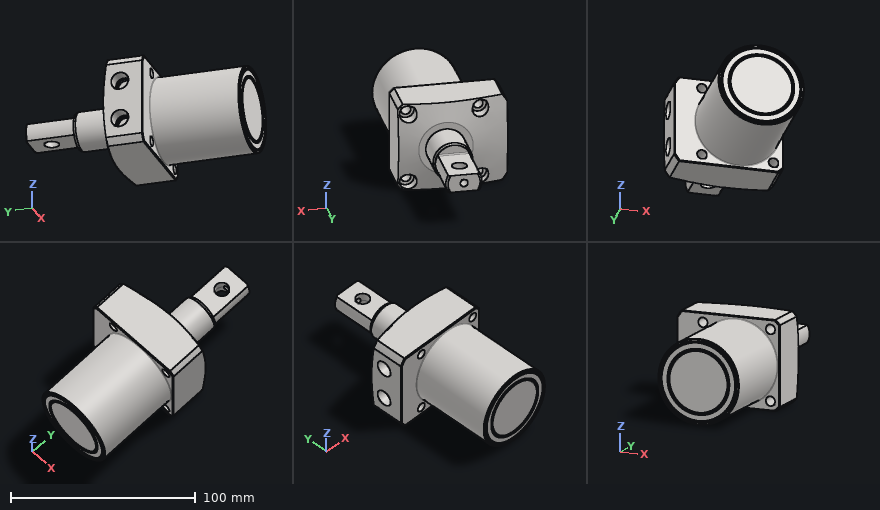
import cadquery as cq
import math


overall_length = 126.5

flange_length = 28.0
flange_height = 51.0
flange_left = 35.5
left_corner_radius = 41.5
right_corner_radius = 34.2
rear_edge_chamfer = 0.5
nose_radius = 15.0
nose_angle = 15.0
bolt_half_spacing = 20.0
bolt_hole_diameter = 5.5
bolt_head_diameter = 9.2
bolt_head_floor_y = 18.0

port_half_spacing = 11.0
port_y = 13.0
port_diameter = 9.7
port_depth = 8.0
port_core_diameter = 8.1
port_core_depth = 10.1

tube_length = 51.0
tube_diameter = 48.0
tube_rim_chamfer = 0.4
tube_root_fillet = 0.3

cap_radius = 22.1
cap_thickness = 8.0
cap_seam_chamfer = 0.5
groove_outer_radius = 18.5
groove_inner_radius = 17.1
groove_depth = 0.5

rod_radius = 11.0
rod_shoulder_length = 20.0
shoulder_chamfer_radial = 0.8
shoulder_chamfer_axial = 1.5
tip_radius = 10.0
tip_thickness = 10.0
tip_chamfer_radial = 1.1
tip_chamfer_axial = 0.8
tip_root_fillet = 0.6
pin_hole_diameter = 8.2
pin_hole_from_tip = 12.0
set_screw_hole_diameter = 4.2

flange_right = flange_height / 2
tube_radius = tube_diameter / 2
rear_y = -tube_length
shoulder_y = flange_length + rod_shoulder_length
tip_y = overall_length - tube_length


def cylinder_y(radius, y_start, y_end):
    """Solid cylinder on the Y axis between two stations."""
    return (
        cq.Workplane("XZ", origin=(0, y_start, 0))
        .circle(radius)
        .extrude(y_start - y_end)
    )


def revolve_y(points):
    """Revolve a closed (radius, y) outline about the Y axis."""
    return cq.Workplane("XY").polyline(points).close().revolve(360, (0, 0, 0), (0, 1, 0))


def half_block(width, side, corner_radius):
    """Part of the flange on one side of the axis, its outer corners turned to a radius."""
    block = cq.Workplane("XY", origin=(side * width / 2, flange_length / 2, 0)).box(
        width, flange_length, flange_height
    )
    return block.intersect(cylinder_y(corner_radius, 0, flange_length))


def make_flange():
    """Block with turned corners, a chamfered rear edge and a conical front."""
    left = half_block(flange_left, -1, left_corner_radius)
    right = half_block(flange_right, 1, right_corner_radius)
    block = left.union(right)
    block = block.faces("<Y").edges().chamfer(rear_edge_chamfer)

    clearance = 1.3
    cone_radius = left_corner_radius + clearance
    cone_drop = (cone_radius - nose_radius) * math.tan(math.radians(nose_angle))
    nose_envelope = revolve_y([
        (0, 0),
        (cone_radius, 0),
        (cone_radius, flange_length - cone_drop),
        (nose_radius, flange_length),
        (0, flange_length),
    ])
    return block.intersect(nose_envelope)


def cut_bolt_holes(body):
    """Four through holes, counterbored from the cone."""
    for x in (-bolt_half_spacing, bolt_half_spacing):
        for z in (-bolt_half_spacing, bolt_half_spacing):
            hole = cylinder_y(bolt_hole_diameter / 2, 0, flange_length)
            head = cylinder_y(bolt_head_diameter / 2, bolt_head_floor_y, flange_length)
            body = body.cut(hole.union(head).translate((x, 0, z)))
    return body


def cut_ports(body):
    """Two stepped ports drilled into the -X face."""
    for z in (-port_half_spacing, port_half_spacing):
        mouth = cq.Workplane("YZ", origin=(-flange_left, port_y, z))
        body = body.cut(mouth.circle(port_diameter / 2).extrude(port_depth))
        body = body.cut(mouth.circle(port_core_diameter / 2).extrude(port_core_depth))
    return body


def make_tube():
    """Solid barrel with a chamfered rear rim."""
    barrel = cylinder_y(tube_radius, rear_y, 0)
    return barrel.faces("<Y").edges().chamfer(tube_rim_chamfer)


def cap_recess():
    """Seat of the end cap, with its flared mouth."""
    return revolve_y([
        (0, rear_y),
        (cap_radius + cap_seam_chamfer, rear_y),
        (cap_radius, rear_y + cap_seam_chamfer),
        (cap_radius, rear_y + cap_thickness),
        (0, rear_y + cap_thickness),
    ])


def make_tube_root():
    """Concave fillet ring where the tube meets the flange."""
    inner = tube_radius - tube_root_fillet
    outer = tube_radius + tube_root_fillet
    arc_offset = tube_root_fillet * (1 - math.cos(math.radians(45)))
    return (
        cq.Workplane("XY")
        .moveTo(inner, 0)
        .lineTo(outer, 0)
        .threePointArc((tube_radius + arc_offset, -arc_offset), (tube_radius, -tube_root_fillet))
        .lineTo(inner, -tube_root_fillet)
        .close()
        .revolve(360, (0, 0, 0), (0, 1, 0))
    )


def make_housing():
    """Flange and tube in one piece, with all of its holes."""
    body = make_flange().union(make_tube()).union(make_tube_root())
    body = cut_bolt_holes(body)
    body = cut_ports(body)
    return body.cut(cap_recess())


def make_end_cap():
    """Disc with a chamfered rim and a slope-walled ring groove in its rear face."""
    disc = cylinder_y(cap_radius, rear_y, rear_y + cap_thickness)
    disc = disc.faces("<Y").edges().chamfer(cap_seam_chamfer)
    groove = revolve_y([
        (groove_inner_radius, rear_y),
        (groove_outer_radius, rear_y),
        (groove_outer_radius - groove_depth, rear_y + groove_depth),
        (groove_inner_radius + groove_depth, rear_y + groove_depth),
    ])
    return disc.cut(groove)


def make_rod():
    """Round rod with a chamfered shoulder and a flat-sided, cross-drilled tip."""
    rod = revolve_y([
        (0, flange_length),
        (rod_radius, flange_length),
        (rod_radius, shoulder_y - shoulder_chamfer_axial),
        (rod_radius - shoulder_chamfer_radial, shoulder_y),
        (tip_radius, shoulder_y),
        (tip_radius, tip_y - tip_chamfer_axial),
        (tip_radius - tip_chamfer_radial, tip_y),
        (0, tip_y),
    ])

    tip_length = tip_y - shoulder_y
    for side in (-1, 1):
        flat = (
            cq.Workplane("XY")
            .box(2 * rod_radius, tip_length, rod_radius, centered=(True, False, False))
            .edges("|X and <Y and <Z")
            .fillet(tip_root_fillet)
            .translate((0, shoulder_y, tip_thickness / 2))
        )
        if side < 0:
            flat = flat.mirror("XY")
        rod = rod.cut(flat)

    pin_y = tip_y - pin_hole_from_tip
    pin_hole = (
        cq.Workplane("XY", origin=(0, pin_y, 0))
        .circle(pin_hole_diameter / 2)
        .extrude(tip_thickness, both=True)
    )
    set_screw_hole = cylinder_y(set_screw_hole_diameter / 2, pin_y, tip_y)
    return rod.cut(pin_hole).cut(set_screw_hole)


housing = make_housing()
end_cap = make_end_cap()
rod = make_rod()

result = cq.Compound.makeCompound([housing.val(), end_cap.val(), rod.val()])